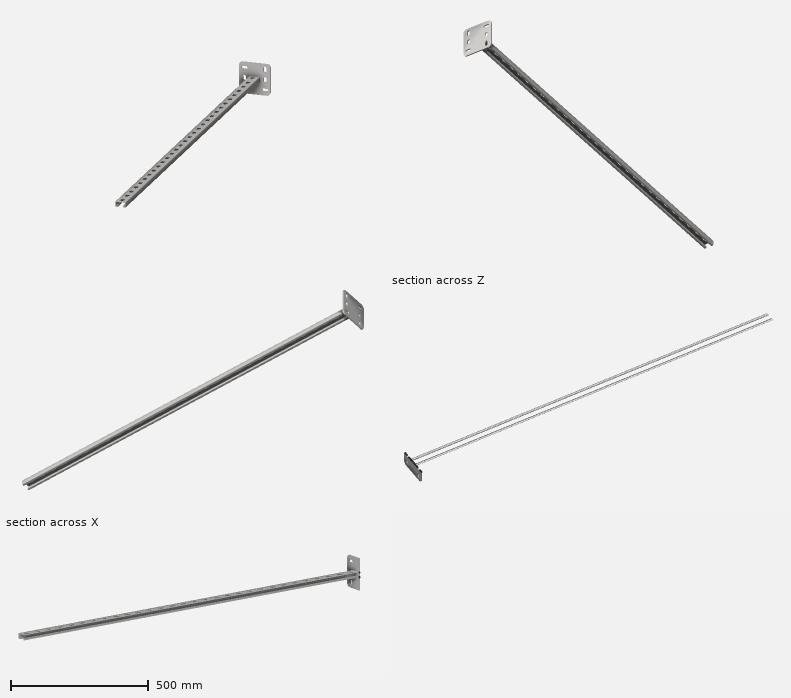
import cadquery as cq

plate_side = 120.0
plate_thickness = 5.0
plate_corner_radius = 14.0

plate_slot_length = 23.0
plate_slot_width = 10.0
plate_slot_offset = 39.0
plate_middle_slot_length = 20.0

total_length = 1506.0
channel_length = total_length - plate_thickness
channel_width = 40.0
channel_height = 21.0
wall = 2.5
bend_radius = 3.3
mouth_width = 21.0
lip_height = 8.0

web_slot_count = 30
web_slot_pitch = channel_length / web_slot_count
web_slot_length = 27.0
web_slot_width = 13.1

plate_back_y = total_length / 2
plate_front_y = plate_back_y - plate_thickness
channel_end_y = -total_length / 2


def plate_slot(x, z, length, angle):
    """Cutter for a slot through the plate; angle 0 lies along X, 90 along Z."""
    return (
        cq.Workplane("XZ", origin=(0, plate_back_y, 0))
        .center(x, z)
        .slot2D(length, plate_slot_width, angle)
        .extrude(plate_thickness)
    )


def make_plate():
    plate = (
        cq.Workplane("XZ", origin=(0, plate_back_y, 0))
        .rect(plate_side, plate_side)
        .extrude(plate_thickness)
        .edges("|Y")
        .fillet(plate_corner_radius)
    )
    for side in (-1, 1):
        x = side * plate_slot_offset
        plate = plate.cut(plate_slot(x, -x, plate_slot_length, 0))
        plate = plate.cut(plate_slot(x, x, plate_slot_length, 90))
        plate = plate.cut(plate_slot(x, 0, plate_middle_slot_length, 90))
    return plate


def make_channel():
    """Bent-sheet channel whose two lips turn in and then back up."""
    half_height = channel_height / 2
    outer = (
        cq.Workplane("XZ", origin=(0, plate_front_y, 0))
        .rect(channel_width, channel_height)
        .extrude(channel_length)
        .edges("|Y")
        .fillet(bend_radius)
    )
    cavity = (
        cq.Workplane("XZ", origin=(0, plate_front_y, 0))
        .rect(channel_width - 2 * wall, channel_height - 2 * wall)
        .extrude(channel_length)
        .edges("|Y")
        .fillet(bend_radius - wall)
    )
    mouth = (
        cq.Workplane("XZ", origin=(0, plate_front_y, -half_height))
        .rect(mouth_width, 2 * wall)
        .extrude(channel_length)
    )
    channel = outer.cut(cavity).cut(mouth)
    for side in (-1, 1):
        lip = (
            cq.Workplane("XZ", origin=(0, plate_front_y, 0))
            .center(side * (mouth_width + wall) / 2, -half_height + lip_height / 2)
            .rect(wall, lip_height)
            .extrude(channel_length)
        )
        channel = channel.union(lip)
    return channel


def make_web_slots():
    first_y = channel_end_y + web_slot_pitch / 2
    centres = [(0, first_y + i * web_slot_pitch) for i in range(web_slot_count)]
    return (
        cq.Workplane("XY")
        .pushPoints(centres)
        .slot2D(web_slot_length, web_slot_width, 90)
        .extrude(channel_height)
    )


result = make_plate().union(make_channel().cut(make_web_slots()))